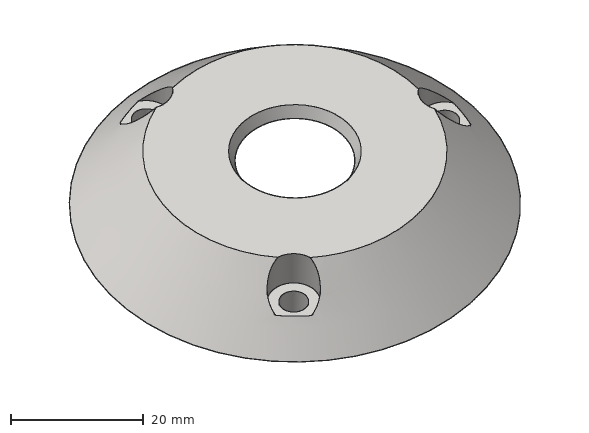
import cadquery as cq

base_diameter = 68.0
height = 11.1
top_diameter = base_diameter - 2 * height

roof_thickness = 2.0
cavity_diameter = 40.0
opening_top_diameter = 20.0
opening_bottom_diameter = 18.0

screw_count = 3
screw_circle_radius = 26.0
first_screw_angle = 90
screw_hole_diameter = 4.5
screw_head_diameter = 8.0
screw_seat_height = 4.9


def conical_body():
    """Solid truncated cone standing on its wide face."""
    profile = [
        (0, 0),
        (base_diameter / 2, 0),
        (top_diameter / 2, height),
        (0, height),
    ]
    return cq.Workplane("XZ").polyline(profile).close().revolve(360, (0, 0), (0, 1))


def cylinder(diameter, bottom, top):
    """Vertical cylinder on the Z axis between two heights."""
    return cq.Workplane("XY").workplane(offset=bottom).circle(diameter / 2).extrude(top - bottom)


def tapered_opening():
    """Conical opening through the roof, narrowing downward to the cavity."""
    return (
        cq.Workplane("XY")
        .workplane(offset=height - roof_thickness)
        .circle(opening_bottom_diameter / 2)
        .workplane(offset=roof_thickness)
        .circle(opening_top_diameter / 2)
        .loft(ruled=True)
    )


def screw_hole():
    """Through hole with a head pocket open to the flank, placed on the +X axis."""
    shank = cylinder(screw_hole_diameter, 0, height)
    head = cylinder(screw_head_diameter, screw_seat_height, height)
    return shank.union(head).translate((screw_circle_radius, 0, 0))


result = conical_body()
result = result.cut(cylinder(cavity_diameter, 0, height - roof_thickness))
result = result.cut(tapered_opening())
for index in range(screw_count):
    angle = first_screw_angle + index * 360 / screw_count
    result = result.cut(screw_hole().rotate((0, 0, 0), (0, 0, 1), angle))